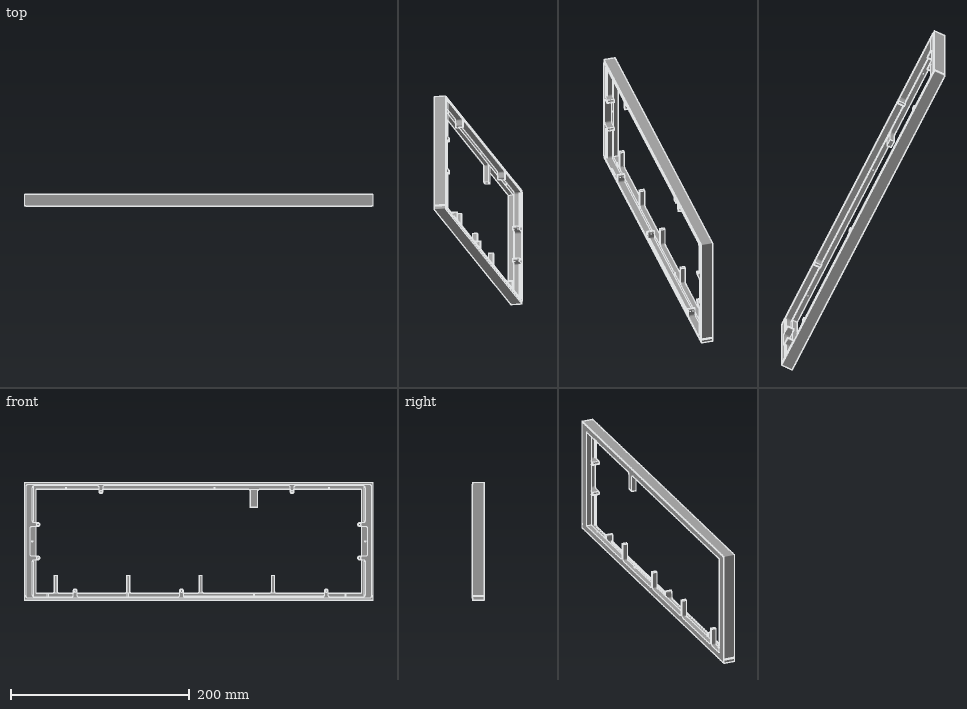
import cadquery as cq
length = 390.0
depth = 14.0
height = 132.0
front = -depth / 2
back = depth / 2
corner_radius = 0.6
rear_chamfer = 0.5

rim_depth = 0.7
rim_x = 1.7
rim_z = 2.4
rim_radius = 2.5

window_x = 182.0
window_z = 58.0
cavity_x = 186.3
cavity_z = 62.5
cavity_radius = 3.0
recess_depth = 8.0
ledge = front + recess_depth

pocket_x = 189.0
pocket_z = 16.6
pocket_radius = 2.5

bead_width = 1.2
bead_setback = 1.0
bead_thickness = 1.2
side_bead_inner_z = 22.5
side_bead_outer_z = 60.8

boss_width = 4.3
boss_hole = 2.5
boss_fillet = 2.2
root_overlap = 0.5
boss_reach = 7.0
side_boss_reach = 6.4
top_boss_x = (-109.5, 104.4)
bottom_boss_x = (-138.3, -19.4, 142.6)
side_boss_z = (-18.6, 18.8)

peg_width = 3.6
peg_length = 20.0
peg_x = [-159.9 + 81.0 * i for i in range(4)]
peg_fillet = 2.0
tab_width = 8.2
tab_x = 61.7
peg_front = ledge + 0.5

pin_hole = 1.3
pin_hole_depth = 3.0
top_pin_x = (-148.4, 17.6, 145.6)
top_pin_z = 59.7
side_pin_x = 186.2
notch_x = (-169.0, -79.5, 61.7, 164.0)
notch_width = 1.3
notch_depth = 1.0

groove_z = -61.2
groove_width = 1.2
groove_depth = 0.5

gap_start = -166.0
gap_end = -153.5
gap_depth = 2.0


def block(x0, x1, y0, y1, z0, z1):
    return cq.Workplane("XY").box(x1 - x0, y1 - y0, z1 - z0, centered=False).translate((x0, y0, z0))


def xz_plane(y):
    """Plane facing +Y, so that an extrusion runs from front to rear."""
    return cq.Workplane(cq.Plane(origin=(0, y, 0), xDir=(-1, 0, 0), normal=(0, 1, 0)))


def rounded_block(half_x, half_z, radius, y0, y1):
    return xz_plane(y0).rect(2 * half_x, 2 * half_z).extrude(y1 - y0).edges("|Y").fillet(radius)


def make_frame():
    body = rounded_block(length / 2, height / 2, corner_radius, front + rim_depth, back)
    body = body.faces(">Y").chamfer(rear_chamfer)
    raised = rounded_block(length / 2 - rim_x, height / 2 - rim_z, rim_radius, front, ledge)
    recess = rounded_block(cavity_x, cavity_z, cavity_radius, front, ledge)
    window = block(-window_x, window_x, front, back, -window_z, window_z)
    return body.union(raised).cut(recess).cut(window)


def bead(x0, x1, z0, z1):
    y0 = front + bead_setback
    return block(x0, x1, y0, y0 + bead_thickness, z0, z1)


def stem(width, reach, fillet, y0, y1):
    """Bar along +Z from z = 0, widened by concave fillets at its root."""
    half = width / 2
    outline = (
        xz_plane(y0)
        .moveTo(-half - fillet, -root_overlap)
        .lineTo(-half - fillet, 0)
        .radiusArc((-half, fillet), -fillet)
        .lineTo(-half, reach)
        .lineTo(half, reach)
        .lineTo(half, fillet)
        .radiusArc((half + fillet, 0), -fillet)
        .lineTo(half + fillet, -root_overlap)
        .close()
    )
    return outline.extrude(y1 - y0)


def make_boss(reach):
    bar = stem(boss_width, reach, boss_fillet, front, ledge)
    end = xz_plane(front).center(0, reach).circle(boss_width / 2).extrude(recess_depth)
    hole = xz_plane(front).center(0, reach).circle(boss_hole / 2).extrude(recess_depth)
    return bar.union(end).cut(hole)


def turned(shape, angle, x, z):
    """Turn a shape about Y, then move its root to (x, z)."""
    return shape.rotate((0, 0, 0), (0, 1, 0), angle).translate((x, 0, z))


def add_beads(frame):
    bottom_root = -cavity_z - root_overlap
    frame = frame.union(bead(bottom_boss_x[1], bottom_boss_x[2], bottom_root, -cavity_z + bead_width))
    root = cavity_x + root_overlap
    tip = cavity_x - bead_width
    for z0, z1 in (
        (side_bead_inner_z, side_bead_outer_z),
        (-side_bead_outer_z, -side_bead_inner_z),
    ):
        frame = frame.union(bead(-root, -tip, z0, z1))
        frame = frame.union(bead(tip, root, z0, z1))
    return frame


def add_bosses(frame):
    boss = make_boss(boss_reach)
    side_boss = make_boss(side_boss_reach)
    for x in top_boss_x:
        frame = frame.union(turned(boss, 180, x, cavity_z))
    for x in bottom_boss_x:
        frame = frame.union(turned(boss, 0, x, -cavity_z))
    for z in side_boss_z:
        frame = frame.union(turned(side_boss, 90, -cavity_x, z))
        frame = frame.union(turned(side_boss, -90, cavity_x, z))
    return frame


def add_pegs_and_tab(frame):
    peg = stem(peg_width, peg_length, peg_fillet, peg_front, back)
    tab = stem(tab_width, peg_length, peg_fillet, peg_front, back)
    for x in peg_x:
        frame = frame.union(turned(peg, 0, x, -window_z))
    return frame.union(turned(tab, 180, tab_x, window_z))


def cut_pockets(frame):
    """Clear both side walls between the bosses, including the boss fillets that face each other."""
    return frame.cut(rounded_block(pocket_x, pocket_z, pocket_radius, front, ledge))


def cut_ledge_details(frame):
    pins = [(x, top_pin_z) for x in top_pin_x] + [(-side_pin_x, 0), (side_pin_x, 0)]
    hole = xz_plane(ledge).circle(pin_hole / 2).extrude(pin_hole_depth)
    for x, z in pins:
        frame = frame.cut(hole.translate((x, 0, z)))
    half = notch_width / 2
    for x in notch_x:
        frame = frame.cut(block(x - half, x + half, ledge, ledge + notch_depth, -cavity_z, -window_z))
    return frame


def cut_outer_details(frame):
    groove = cq.Workplane("XY").box(2 * groove_depth, depth, groove_width)
    for end in (-length / 2, length / 2):
        frame = frame.cut(groove.translate((end, 0, groove_z)))
    gap_bottom = rim_z - height / 2
    return frame.cut(block(gap_start, gap_end, front, front + gap_depth, gap_bottom, -window_z))


result = make_frame()
result = add_beads(result)
result = add_bosses(result)
result = cut_pockets(result)
result = add_pegs_and_tab(result)
result = cut_ledge_details(result)
result = cut_outer_details(result)